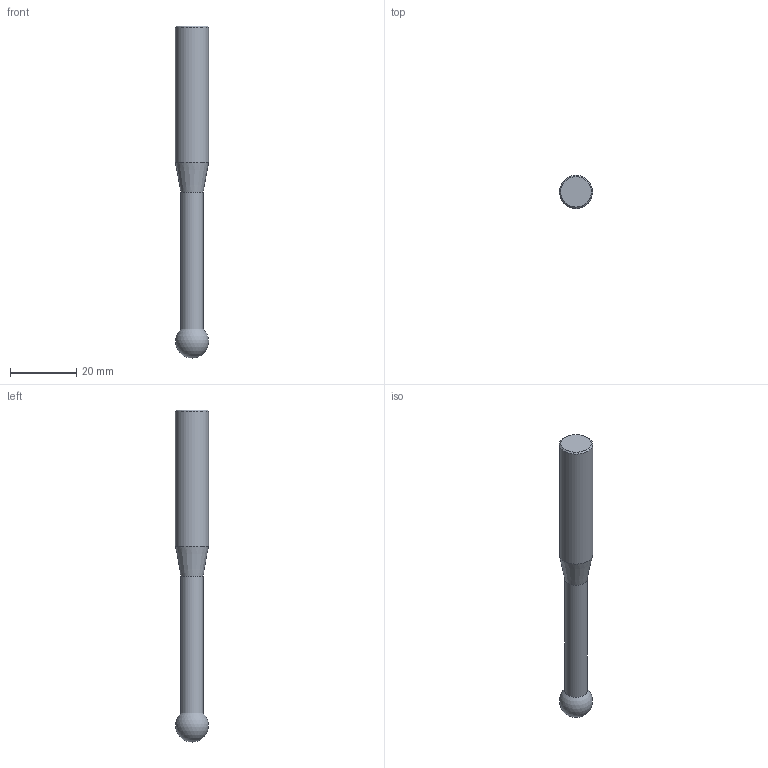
import cadquery as cq
import math

overall_length = 100.0
shank_diameter = 10.0
ball_diameter = 10.0
neck_diameter = 6.7
shank_length = 41.0
taper_length = 9.0
shank_chamfer = 0.4

shank_radius = shank_diameter / 2
ball_radius = ball_diameter / 2
neck_radius = neck_diameter / 2
shank_bottom = overall_length - shank_length
neck_top = shank_bottom - taper_length

neck_bottom = ball_radius + math.sqrt(ball_radius**2 - neck_radius**2)


def tool_profile():
    """Half section in the XZ plane, from the ball tip up to the shank end."""
    return (
        cq.Workplane("XZ")
        .moveTo(0, 0)
        .threePointArc((ball_radius, ball_radius), (neck_radius, neck_bottom))
        .lineTo(neck_radius, neck_top)
        .lineTo(shank_radius, shank_bottom)
        .lineTo(shank_radius, overall_length - shank_chamfer)
        .lineTo(shank_radius - shank_chamfer, overall_length)
        .lineTo(0, overall_length)
        .close()
    )


result = tool_profile().revolve(360, (0, 0, 0), (0, 1, 0))